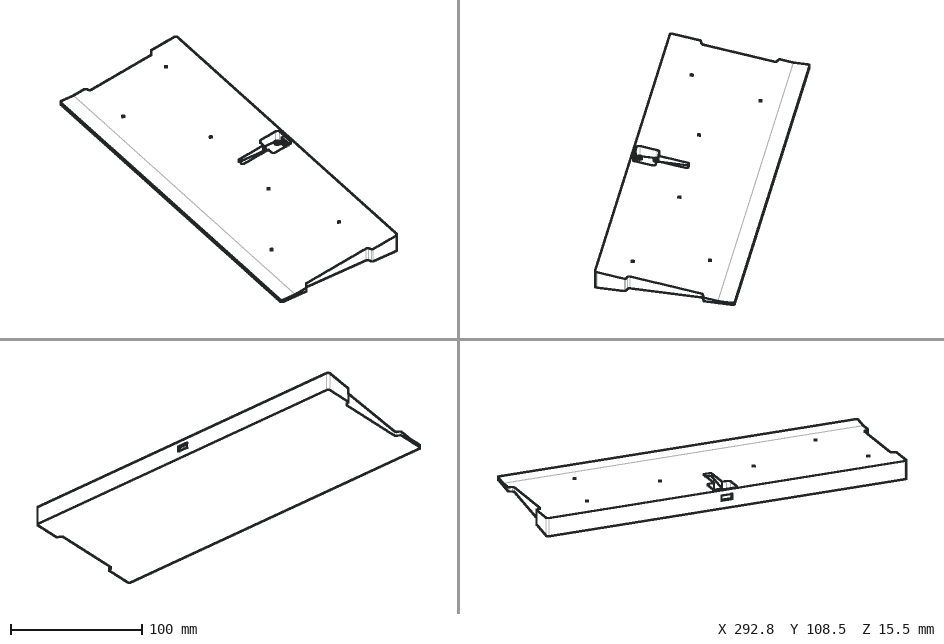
import cadquery as cq
import math

length = 292.8
depth = 108.5
back_height = 15.5
front_height = 2.0
slope_angle = 8
corner_radius = 1.8

notch_depth = 4.0
notch_front = 23.7
notch_back = 85
notch_taper = 1.8
notch_mouth_radius = 1.0
notch_root_radius = 1.8

pocket_width = 18.7
pocket_depth = 18.0
pocket_back_wall = 1.8
pocket_floor = 5.0
pocket_radius = 2.3

standoff_size = 4.5
standoff_top = 5.5
standoff_radius = 2.0
standoff_hole_inset = 2.3

slot_width = 6.5
slot_length = 24.0
slot_floor = 7.0
slot_radius = 1.5

port_width = 8.8
port_bottom = 6.7
port_top = 11.0

hole_diameter = 1.6
hole_depth = 3
hole_places = [
    (-124.0, 83.5), (104.5, 83.5),
    (-38, 64.5), (38, 64.5),
    (-102.0, 27.8), (94.0, 27.8),
]

slope = math.radians(slope_angle)
strip_depth = depth - (back_height - front_height) / math.tan(slope)
pocket_back = depth - pocket_back_wall
pocket_front = pocket_back - pocket_depth


def block(width, y_start, y_end, z_start, z_end):
    """Block centred on X = 0 between the given Y and Z limits."""
    base = cq.Workplane("XY", origin=(0, (y_start + y_end) / 2, z_start))
    return base.rect(width, y_end - y_start).extrude(z_end - z_start)


def wedge():
    """Flat strip along the front, then a straight slope up to the back."""
    profile = [
        (0, 0),
        (depth, 0),
        (depth, back_height),
        (strip_depth, front_height),
        (0, front_height),
    ]
    return cq.Workplane("YZ").polyline(profile).close().extrude(length / 2, both=True)


def fillet_upright(solid, x, y, radius):
    """Round the upright edge nearest to plan position x, y."""
    edge = cq.selectors.NearestToPointSelector((x, y, back_height / 2))
    return solid.edges("|Z").edges(edge).fillet(radius)


def notched_prism():
    """Plan outline with both side notches and rounded corners."""
    half = length / 2
    inner = half - notch_depth
    right_side = [
        (half, 0),
        (half, notch_front),
        (inner, notch_front + notch_taper),
        (inner, notch_back - notch_taper),
        (half, notch_back),
        (half, depth),
    ]
    left_side = [(-x, y) for x, y in reversed(right_side)]
    prism = cq.Workplane("XY").polyline(right_side + left_side).close().extrude(back_height)
    prism = prism.edges("|Z and (<Y or >Y)").fillet(corner_radius)
    for x in (-half, half):
        for y in (notch_front, notch_back):
            prism = fillet_upright(prism, x, y, notch_mouth_radius)
    for x in (-inner, inner):
        for y in (notch_front + notch_taper, notch_back - notch_taper):
            prism = fillet_upright(prism, x, y, notch_root_radius)
    return prism


def pocket_corners(inset):
    """Points on the pocket floor, set in from its four corners along X and Y."""
    centre = (0, (pocket_front + pocket_back) / 2, pocket_floor)
    plane = cq.Workplane("XY", origin=centre)
    spacing_x = pocket_width - 2 * inset
    spacing_y = pocket_depth - 2 * inset
    return plane.rect(spacing_x, spacing_y, forConstruction=True).vertices()


def standoffs():
    """Four corner blocks with rounded uprights, each with a screw hole to the pocket floor."""
    height = standoff_top - pocket_floor
    corners = pocket_corners(standoff_size / 2)
    blocks = corners.rect(standoff_size, standoff_size).extrude(height)
    blocks = blocks.edges("|Z").fillet(standoff_radius)
    holes = pocket_corners(standoff_hole_inset).circle(hole_diameter / 2).extrude(height)
    return blocks.cut(holes)


def pocket():
    """Rounded pocket, less the standoffs left standing in its corners."""
    space = block(pocket_width, pocket_front, pocket_back, pocket_floor, back_height)
    return space.edges("|Z").fillet(pocket_radius).cut(standoffs())


def slot():
    """Slot with its two front corners rounded."""
    channel = block(slot_width, pocket_front - slot_length, pocket_front, slot_floor, back_height)
    return channel.edges("|Z and <Y").fillet(slot_radius)


def port():
    """Rectangular opening from the pocket out through the back wall."""
    return block(port_width, pocket_back, depth, port_bottom, port_top)


def top_hole(x, y):
    """Blind hole drilled square to the sloped face at plan position x, y."""
    z = front_height + (y - strip_depth) * math.tan(slope)
    outward = cq.Vector(0, -math.sin(slope), math.cos(slope))
    start = cq.Vector(x, y, z) - outward * hole_depth
    drill_length = 2 * hole_depth
    drill = cq.Solid.makeCylinder(hole_diameter / 2, drill_length, start, outward)
    return cq.Workplane(drill)


result = wedge().intersect(notched_prism()).cut(pocket()).cut(slot()).cut(port())
for x, y in hole_places:
    result = result.cut(top_hole(x, y))